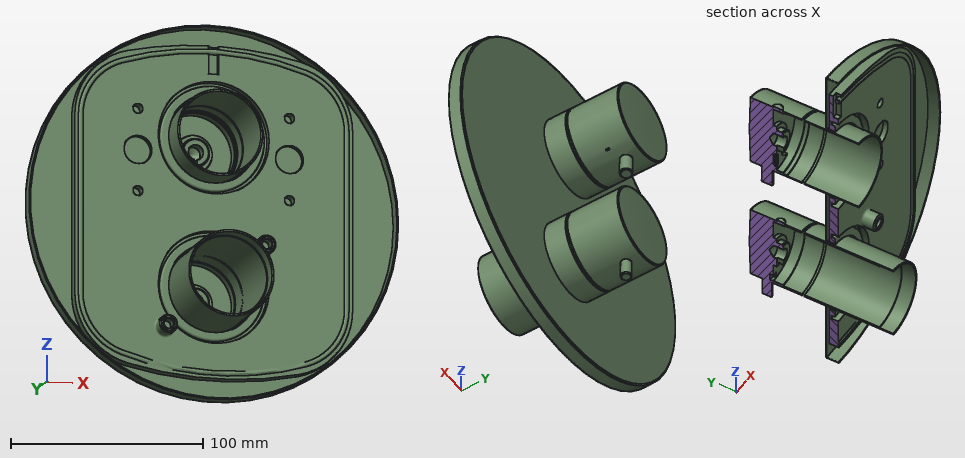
import cadquery as cq
import math


PLATE_DIA = 200.0
PLATE_THICK = 8.0
PLATE_EDGE_CHAMFER = 0.8
RIM_BORE_DIA = 198.5
RIM_DEPTH = 7.2

PANEL_THICK = 5.8
PANEL_HALF_WIDTH = 75.2
PANEL_HALF_HEIGHT = 89.0
PANEL_CORNER_RADIUS = 37.0
SEAL_HALF_WIDTH = 72.0
SEAL_HALF_HEIGHT = 86.0
SEAL_CORNER_RADIUS = 32.0
SIDE_HALF_LENGTH = 47.5
SEAL_CORD_DIA = 3.0
SEAL_CENTRE_Y = 0.8

DRAIN_SLOT_WIDTH = 5.5
DRAIN_SLOT_BOTTOM_Z = 74.0
DRAIN_SLOT_DEPTH = 3.2
SMALL_HOLE_DIA = 5.2
SHALLOW_HOLE_DIA = 15.0
SHALLOW_HOLE_DEPTH = 3.0
HOLE_X = 41.0
HOLE_ROW_Z = 31.0
SMALL_HOLE_SPACING = 44.0

SCREW_DIA = 9.5
SCREW_FRONT_Y = -8.5
SCREW_CHAMFER = 0.8
SCREW_FOOT_FILLET = 1.0
SCREW_X = 26.5
SCREW_OFFSET_Z = 23.0
SCREW_HOLE_DIA = 5.2
SCREW_HOLE_MOUTH_DIA = 6.0
SCREW_HOLE_DEPTH = 6.0

KNOB_Z = 40.0
SEAT_DIA = 60.0
SEAT_DEPTH = 4.5
FLANGE_DIA = 56.5
FLANGE_FRONT_Y = 2.0
FLANGE_FILLET = 1.0
CLEARANCE_DIA = 47.5

SLEEVE_DIA = 46.0
SLEEVE_BACK_Y = 21.2
NECK_DIA = 44.0
KNOB_DIA = 45.8
KNOB_FRONT_Y = 22.5
KNOB_BACK_Y = 54.5
KNOB_EDGE_CHAMFER = 0.5
DOME_HEIGHT = 0.5
DOME_DIA = KNOB_DIA - 2 * KNOB_EDGE_CHAMFER
MOUTH_DIA = 44.0
BORE_DIA = 43.0
BORE_BACK_Y = 34.0
POCKET_DIA = 41.8
POCKET_BACK_Y = 40.0
UPPER_SLEEVE_FRONT_Y = -12.5
UPPER_MOUTH_DEPTH = 44.0
LOWER_SLEEVE_FRONT_Y = -33.5
LOWER_MOUTH_DEPTH = 8.5

HUB_DIA = 20.0
HUB_HEIGHT = 2.0
SOCKET_DIA = 15.0
SOCKET_HEIGHT = 6.0
SOCKET_CHAMFER = 0.5
SOCKET_HOLE_DIA = 8.0
SOCKET_CONE_DEPTH = 2.5
SOCKET_KEY_WIDTH = 1.5

WEB_WIDTH = 10.5
WEB_FLARE_START = 12.2
WEB_FLARE_RADIUS = 5.0
WEB_SLOT_WIDTH = 3.0
WEB_SLOT_LENGTH = 8.5
WEB_SLOT_OFFSET = 14.5
WEB_SLOT_DEPTH = 1.0
WEB_SLOT_LEDGE = 0.8
WEB_SLOT_LOWER_DEPTH = 2.0
NOTCH_WIDTH = 6.0
NOTCH_TOP = 17.5
NOTCH_DEPTH = 2.0

HANDLE_Y = 44.0
HANDLE_CHAMFER = 0.5
UPPER_HANDLE_DIA = 7.0
UPPER_HANDLE_REACH = 33.8
LOWER_HANDLE_DIA = 6.0
LOWER_HANDLE_REACH = 33.5
UPPER_BUTTON_DIA = 6.0
UPPER_BUTTON_Y = 37.5
LOWER_BUTTON_DIA = 5.2
LOWER_BUTTON_Y = 35.5
BUTTON_HEIGHT = 0.5


def front_sketch(y):
    """Workplane parallel to XZ at the given Y; negative extrusion runs towards +Y."""
    return cq.Workplane(cq.Plane((0, y, 0), xDir=(1, 0, 0), normal=(0, -1, 0)))


def rod(diameter, y_front, y_back, x=0.0, z=0.0):
    """Cylinder along Y between two Y positions."""
    return front_sketch(y_front).center(x, z).circle(diameter / 2).extrude(y_front - y_back)


def arched_outline(y, half_width, half_height, corner_radius):
    """Closed outline: straight sides, tangent corner arcs and arched ends centred on X = 0."""
    corner_x = half_width - corner_radius
    rise = half_height - SIDE_HALF_LENGTH
    arch_radius = (corner_x**2 + rise**2 - corner_radius**2) / (2 * (rise - corner_radius))
    arch_angle = math.asin(corner_x / (arch_radius - corner_radius))
    mid_angle = arch_angle / 2 + math.pi / 4

    def corner_point(angle):
        return (
            corner_x + corner_radius * math.sin(angle),
            SIDE_HALF_LENGTH + corner_radius * math.cos(angle),
        )

    end_x, end_z = corner_point(arch_angle)
    mid_x, mid_z = corner_point(mid_angle)
    return (
        front_sketch(y)
        .moveTo(half_width, -SIDE_HALF_LENGTH)
        .lineTo(half_width, SIDE_HALF_LENGTH)
        .threePointArc((mid_x, mid_z), (end_x, end_z))
        .threePointArc((0, half_height), (-end_x, end_z))
        .threePointArc((-mid_x, mid_z), (-half_width, SIDE_HALF_LENGTH))
        .lineTo(-half_width, -SIDE_HALF_LENGTH)
        .threePointArc((-mid_x, -mid_z), (-end_x, -end_z))
        .threePointArc((0, -half_height), (end_x, -end_z))
        .threePointArc((mid_x, -mid_z), (half_width, -SIDE_HALF_LENGTH))
        .close()
    )


def make_seal():
    """Round cord following the panel edge."""
    path = arched_outline(SEAL_CENTRE_Y, SEAL_HALF_WIDTH, SEAL_HALF_HEIGHT, SEAL_CORNER_RADIUS)
    section_plane = cq.Plane(
        (SEAL_HALF_WIDTH, SEAL_CENTRE_Y, -SIDE_HALF_LENGTH), xDir=(1, 0, 0), normal=(0, 0, 1)
    )
    return cq.Workplane(section_plane).circle(SEAL_CORD_DIA / 2).sweep(path)


def make_dish():
    """Thin round dish, open at the front."""
    disc = rod(PLATE_DIA, 0, PLATE_THICK).faces(">Y").chamfer(PLATE_EDGE_CHAMFER)
    return disc.cut(rod(RIM_BORE_DIA, 0, RIM_DEPTH))


def make_panel():
    """Flat panel with arched ends."""
    panel = arched_outline(0, PANEL_HALF_WIDTH, PANEL_HALF_HEIGHT, PANEL_CORNER_RADIUS)
    return panel.extrude(-PANEL_THICK)


def cut_panel_holes(panel):
    """Drain slot at the top edge, shallow holes and through holes beside the upper knob."""
    slot_length = PANEL_HALF_HEIGHT - DRAIN_SLOT_BOTTOM_Z
    slot_centre_z = (PANEL_HALF_HEIGHT + DRAIN_SLOT_BOTTOM_Z) / 2
    slot = front_sketch(0).center(0, slot_centre_z).rect(DRAIN_SLOT_WIDTH, slot_length)
    panel = panel.cut(slot.extrude(-DRAIN_SLOT_DEPTH))
    for x in (-HOLE_X, HOLE_X):
        panel = panel.cut(rod(SHALLOW_HOLE_DIA, 0, SHALLOW_HOLE_DEPTH, x, HOLE_ROW_Z))
        for side in (-1, 1):
            z = HOLE_ROW_Z + side * SMALL_HOLE_SPACING / 2
            panel = panel.cut(rod(SMALL_HOLE_DIA, 0, PANEL_THICK, x, z))
    return panel


def cut_knob_seat(panel, z):
    """Round recess with a rounded flange and a through hole that clears the sleeve."""
    flange = rod(FLANGE_DIA, FLANGE_FRONT_Y, SEAT_DEPTH, 0, z).faces("<Y").edges().fillet(FLANGE_FILLET)
    clearance = rod(CLEARANCE_DIA, 0, PANEL_THICK, 0, z)
    return panel.cut(rod(SEAT_DIA, 0, SEAT_DEPTH, 0, z)).union(flange).cut(clearance)


def make_screw(side):
    """Hollow screw end with a filleted foot, on one side of the lower knob."""
    radius = SCREW_DIA / 2
    foot_radius = radius + SCREW_FOOT_FILLET
    hole_radius = SCREW_HOLE_DIA / 2
    mouth_radius = SCREW_HOLE_MOUTH_DIA / 2
    mouth_depth = mouth_radius - hole_radius
    hole_end_y = SCREW_FRONT_Y + SCREW_HOLE_DEPTH
    fillet_reach = SCREW_FOOT_FILLET * (1 - math.sqrt(0.5))
    profile = (
        cq.Workplane("XY")
        .moveTo(0, PANEL_THICK)
        .lineTo(radius, PANEL_THICK)
        .lineTo(radius, 0)
        .lineTo(foot_radius, 0)
        .threePointArc((radius + fillet_reach, -fillet_reach), (radius, -SCREW_FOOT_FILLET))
        .lineTo(radius, SCREW_FRONT_Y + SCREW_CHAMFER)
        .lineTo(radius - SCREW_CHAMFER, SCREW_FRONT_Y)
        .lineTo(mouth_radius, SCREW_FRONT_Y)
        .lineTo(hole_radius, SCREW_FRONT_Y + mouth_depth)
        .lineTo(hole_radius, hole_end_y)
        .lineTo(0, hole_end_y)
        .close()
    )
    screw = profile.revolve(360, (0, 0, 0), (0, 1, 0))
    return screw.translate((side * SCREW_X, 0, -KNOB_Z + side * SCREW_OFFSET_Z))


def make_knob(sleeve_front_y, mouth_depth):
    """Sleeve, neck and domed knob as one turned shape around Y, open at the front."""
    mouth_back_y = sleeve_front_y + mouth_depth
    edge_y = KNOB_BACK_Y - KNOB_EDGE_CHAMFER
    dome_mid_x = DOME_DIA / 4
    dome_radius = ((DOME_DIA / 2) ** 2 + DOME_HEIGHT**2) / (2 * DOME_HEIGHT)
    dome_top_y = KNOB_BACK_Y + DOME_HEIGHT
    dome_mid_y = dome_top_y - dome_radius + math.sqrt(dome_radius**2 - dome_mid_x**2)
    profile = (
        cq.Workplane("XY")
        .moveTo(MOUTH_DIA / 2, sleeve_front_y)
        .lineTo(SLEEVE_DIA / 2, sleeve_front_y)
        .lineTo(SLEEVE_DIA / 2, SLEEVE_BACK_Y)
        .lineTo(NECK_DIA / 2, SLEEVE_BACK_Y)
        .lineTo(NECK_DIA / 2, KNOB_FRONT_Y)
        .lineTo(KNOB_DIA / 2, KNOB_FRONT_Y)
        .lineTo(KNOB_DIA / 2, edge_y)
        .lineTo(DOME_DIA / 2, KNOB_BACK_Y)
        .threePointArc((dome_mid_x, dome_mid_y), (0, dome_top_y))
        .lineTo(0, POCKET_BACK_Y)
        .lineTo(POCKET_DIA / 2, POCKET_BACK_Y)
        .lineTo(POCKET_DIA / 2, BORE_BACK_Y)
        .lineTo(BORE_DIA / 2, BORE_BACK_Y)
        .lineTo(BORE_DIA / 2, mouth_back_y)
        .lineTo(MOUTH_DIA / 2, mouth_back_y)
        .close()
    )
    return profile.revolve(360, (0, 0, 0), (0, 1, 0))


def add_socket(knob):
    """Hub and keyed stem socket on the pocket floor."""
    socket_front_y = POCKET_BACK_Y - SOCKET_HEIGHT
    hub = rod(HUB_DIA, POCKET_BACK_Y - HUB_HEIGHT, POCKET_BACK_Y)
    socket = rod(SOCKET_DIA, socket_front_y, POCKET_BACK_Y).faces("<Y").chamfer(SOCKET_CHAMFER)
    hole = rod(SOCKET_HOLE_DIA, socket_front_y, POCKET_BACK_Y)
    cone = cq.Workplane(
        cq.Solid.makeCone(
            SOCKET_HOLE_DIA / 2, 0, SOCKET_CONE_DEPTH, cq.Vector(0, POCKET_BACK_Y, 0), cq.Vector(0, 1, 0)
        )
    )
    key_length = SOCKET_DIA / 2
    key = front_sketch(socket_front_y).center(0, -key_length / 2).rect(SOCKET_KEY_WIDTH, key_length)
    key = key.extrude(HUB_HEIGHT - SOCKET_HEIGHT)
    return knob.union(hub).union(socket).cut(hole).cut(cone).cut(key)


def add_web(knob):
    """Web with a flared foot between the hub and the pocket wall, with a stepped slot in it."""
    web_front_y = POCKET_BACK_Y - HUB_HEIGHT
    half_width = WEB_WIDTH / 2
    flare_x = half_width + WEB_FLARE_RADIUS
    flare_z = -WEB_FLARE_START - WEB_FLARE_RADIUS
    arc_x = flare_x - WEB_FLARE_RADIUS * math.sqrt(0.5)
    arc_z = -WEB_FLARE_START - WEB_FLARE_RADIUS * math.sqrt(0.5)
    wall_z = -POCKET_DIA / 2
    web = (
        front_sketch(web_front_y)
        .moveTo(-half_width, -SOCKET_DIA / 2)
        .lineTo(half_width, -SOCKET_DIA / 2)
        .lineTo(half_width, -WEB_FLARE_START)
        .threePointArc((arc_x, arc_z), (flare_x, flare_z))
        .lineTo(flare_x, wall_z)
        .lineTo(-flare_x, wall_z)
        .lineTo(-flare_x, flare_z)
        .threePointArc((-arc_x, arc_z), (-half_width, -WEB_FLARE_START))
        .close()
        .extrude(-HUB_HEIGHT)
    )
    knob = knob.union(web)
    for depth, inset in ((WEB_SLOT_DEPTH, 0), (WEB_SLOT_LOWER_DEPTH, 2 * WEB_SLOT_LEDGE)):
        slot = front_sketch(web_front_y).center(0, -WEB_SLOT_OFFSET)
        slot = slot.slot2D(WEB_SLOT_LENGTH - inset, WEB_SLOT_WIDTH - inset, 90)
        knob = knob.cut(slot.extrude(-depth))
    return knob


def cut_notch(knob):
    """Rectangular notch in the pocket floor at the foot of the pocket."""
    length = POCKET_DIA / 2 - NOTCH_TOP
    notch = front_sketch(POCKET_BACK_Y).center(0, -NOTCH_TOP - length / 2).rect(NOTCH_WIDTH, length)
    return knob.cut(notch.extrude(-NOTCH_DEPTH))


def add_handle(knob, diameter, reach):
    """Radial pin pointing down from the knob."""
    root = POCKET_DIA / 2
    pin_plane = cq.Plane((0, HANDLE_Y, -root), xDir=(1, 0, 0), normal=(0, 0, -1))
    pin = cq.Workplane(pin_plane).circle(diameter / 2).extrude(reach - root)
    return knob.union(pin.faces("<Z").chamfer(HANDLE_CHAMFER))


def add_button(knob, diameter, y):
    """Small round button standing just proud of the knob's top."""
    root = POCKET_DIA / 2
    top = KNOB_DIA / 2 + BUTTON_HEIGHT
    button = cq.Workplane("XY", origin=(0, y, root)).circle(diameter / 2).extrude(top - root)
    return knob.union(button)


upper_knob = add_web(add_socket(make_knob(UPPER_SLEEVE_FRONT_Y, UPPER_MOUTH_DEPTH)))
upper_knob = add_handle(upper_knob, UPPER_HANDLE_DIA, UPPER_HANDLE_REACH)
upper_knob = add_button(upper_knob, UPPER_BUTTON_DIA, UPPER_BUTTON_Y)

lower_knob = cut_notch(add_socket(make_knob(LOWER_SLEEVE_FRONT_Y, LOWER_MOUTH_DEPTH)))
lower_knob = add_handle(lower_knob, LOWER_HANDLE_DIA, LOWER_HANDLE_REACH)
lower_knob = add_button(lower_knob, LOWER_BUTTON_DIA, LOWER_BUTTON_Y)

cover = make_dish()
for knob, knob_z in ((upper_knob, KNOB_Z), (lower_knob, -KNOB_Z)):
    cover = cover.cut(rod(SLEEVE_DIA, RIM_DEPTH, PLATE_THICK, 0, knob_z))
    cover = cover.union(knob.translate((0, 0, knob_z)))

carrier = cut_panel_holes(make_panel())
for seat_z in (KNOB_Z, -KNOB_Z):
    carrier = cut_knob_seat(carrier, seat_z)
for screw_side in (-1, 1):
    carrier = carrier.union(make_screw(screw_side))
carrier = carrier.union(make_seal())

result = cq.Compound.makeCompound([cover.solids().val(), carrier.solids().val()])